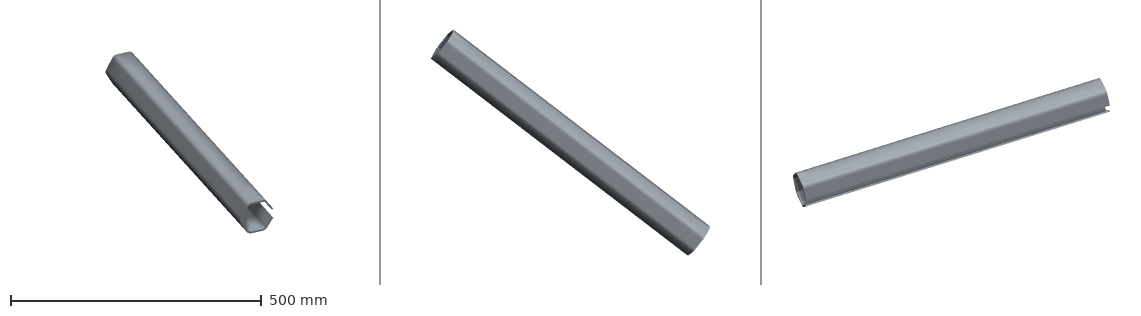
import cadquery as cq
import math

length = 650.0
depth = 73.0
height = 70.0
wall = 4.0
bend_radius = 12.0
flat_width = 38.0
lip_angle = 55.0
nose_half_angle = 61.0

half_height = height / 2
nose_slope = math.radians(nose_half_angle)
lip_slope = math.radians(lip_angle)
front_corner_y = -half_height / math.tan(nose_slope)
nose_corner_y = 2 * front_corner_y
back_corner_y = front_corner_y + flat_width

nose_y = nose_corner_y + bend_radius * (1 / math.sin(nose_slope) - 1)
tip_y = nose_y + depth
lip_length = (tip_y - back_corner_y) / math.cos(lip_slope)
tip_z = half_height - lip_length * math.sin(lip_slope)

inner_half_height = half_height - wall
inner_front_y = front_corner_y + wall * math.tan(nose_slope / 2)
inner_nose_y = nose_corner_y + wall / math.sin(nose_slope)
inner_back_y = back_corner_y - wall * math.tan(lip_slope / 2)
inner_tip_y = tip_y - wall * math.sin(lip_slope)
inner_tip_z = tip_z - wall * math.cos(lip_slope)


def bent_edges(body, corners, radius):
    """Round the lengthwise edges that pass through the given (y, z) corners."""
    for y, z in corners:
        edge = cq.selectors.NearestToPointSelector((length / 2, y, z))
        body = body.edges("|X").edges(edge).fillet(radius)
    return body


outer_corners = [
    (back_corner_y, half_height),
    (front_corner_y, half_height),
    (nose_corner_y, 0),
    (front_corner_y, -half_height),
    (back_corner_y, -half_height),
]
inner_corners = [
    (inner_back_y, -inner_half_height),
    (inner_front_y, -inner_half_height),
    (inner_nose_y, 0),
    (inner_front_y, inner_half_height),
    (inner_back_y, inner_half_height),
]

section = (
    [(tip_y, tip_z)] + outer_corners + [(tip_y, -tip_z)]
    + [(inner_tip_y, -inner_tip_z)] + inner_corners + [(inner_tip_y, inner_tip_z)]
)
profile = cq.Workplane("YZ").polyline(section).close().extrude(length)

profile = bent_edges(profile, outer_corners, bend_radius)
result = bent_edges(profile, inner_corners, bend_radius - wall)